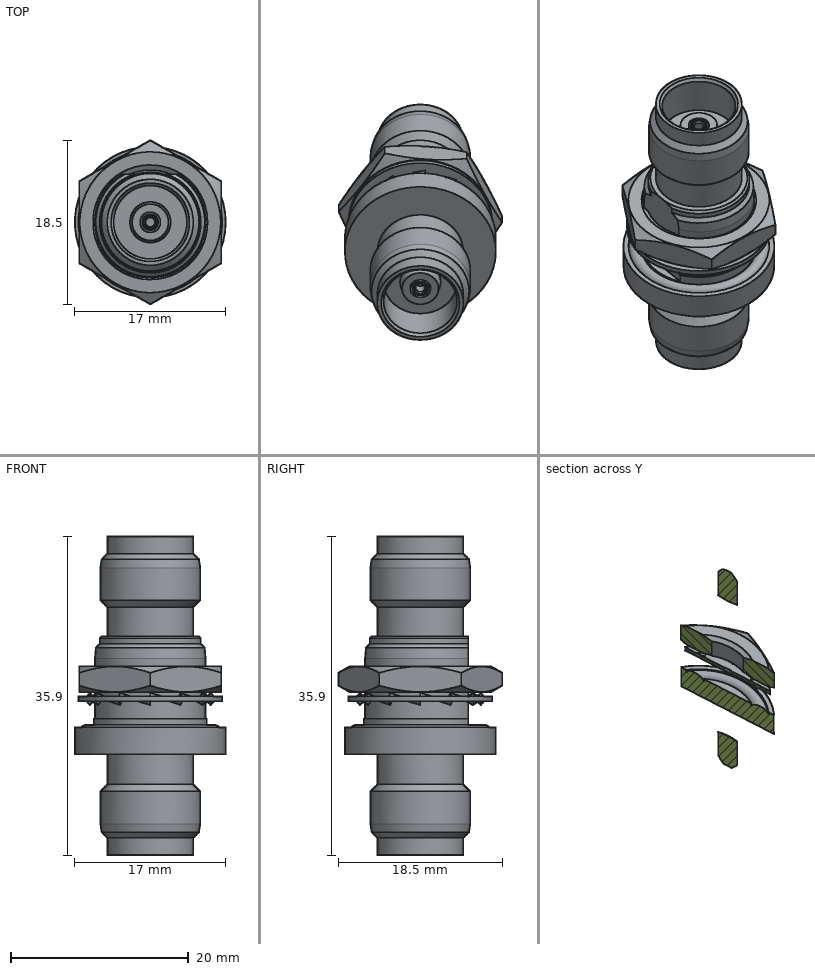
import cadquery as cq
import math


LENGTH = 35.9
HALF_LENGTH = LENGTH / 2
TUBE_RADIUS = 4.85
RING_RADIUS = 5.65
RING_LEAD_RADIUS = 5.5
RING_START = 1.95
RING_TAPER_START = RING_START + (RING_LEAD_RADIUS - TUBE_RADIUS)
RING_FULL_START = 3.52
RING_FULL_END = 7.18
RING_END = RING_FULL_END + (RING_RADIUS - TUBE_RADIUS)

SOCKET_RADIUS = 4.13
SOCKET_MOUTH_RADIUS = 4.4
SOCKET_MOUTH_CHAMFER = 0.32
SOCKET_DEPTH = 4.65
BOSS_BASE_RADIUS = 2.3
BOSS_TOP_RADIUS = 2.05
BOSS_HEIGHT = 1.47
BOSS_HOLE_RADIUS = 1.15
CONTACT_RADIUS = 0.9
CONTACT_HOLE_RADIUS = 0.55
CONTACT_MOUTH_RADIUS = 0.72

FLANGE_RADIUS = 8.5
FLANGE_BOTTOM = -6.6
FLANGE_TOP = -3.55
GASKET_OUTER_RADIUS = 7.95
GASKET_HEIGHT = 0.3
SHOULDER_RADIUS = 6.4
SHOULDER_TOP = -2.6
THREAD_RADIUS = 6.25
THREAD_TAPER_START = 4.2
THREAD_TAPER_END = 5.42
THREAD_LEAD_RADIUS = 6.15
NECK_BOTTOM = 5.85
NECK_RADIUS = 5.7
COLLAR_TOP = 6.7
COLLAR_CHAMFER = 0.25
FLAT_DISTANCE = 5.42

NUT_ACROSS_CORNERS = 18.5
NUT_BOTTOM = 0.4
NUT_HEIGHT = 2.95
NUT_FACE_RADIUS = 7.95
NUT_CHAMFER_ANGLE = 30.0
NUT_BORE_RADIUS = 5.9
NUT_COUNTERSINK_RADIUS = 6.45
NUT_COUNTERSINK_DEPTH = 0.32

WASHER_RADIUS = 8.1
WASHER_BORE_RADIUS = 5.5
WASHER_THICKNESS = 0.57
WASHER_MIDDLE = -0.35
TOOTH_COUNT = 12
TOOTH_CREST_RADIUS = (WASHER_RADIUS + WASHER_BORE_RADIUS) / 2
TOOTH_HALF_WIDTH = 0.35
TOOTH_HEIGHT = 0.4
TOOTH_LENGTH = 1.35


def lathe(points):
    """Revolve a closed (radius, z) outline about the Z axis."""
    return cq.Workplane("XZ").polyline(points).close().revolve(360, (0, 0, 0), (0, 1, 0))


def disc(radius, bottom, top):
    return cq.Workplane("XY").workplane(offset=bottom).circle(radius).extrude(top - bottom)


def connector_end():
    """The upper end, reaching down to z = 0."""
    shell = lathe([
        (0, 0),
        (TUBE_RADIUS, 0),
        (TUBE_RADIUS, HALF_LENGTH - RING_END),
        (RING_RADIUS, HALF_LENGTH - RING_FULL_END),
        (RING_RADIUS, HALF_LENGTH - RING_FULL_START),
        (RING_LEAD_RADIUS, HALF_LENGTH - RING_TAPER_START),
        (TUBE_RADIUS, HALF_LENGTH - RING_START),
        (TUBE_RADIUS, HALF_LENGTH),
        (0, HALF_LENGTH),
    ])
    floor = HALF_LENGTH - SOCKET_DEPTH
    socket = lathe([
        (0, floor),
        (SOCKET_RADIUS, floor),
        (SOCKET_RADIUS, HALF_LENGTH - SOCKET_MOUTH_CHAMFER),
        (SOCKET_MOUTH_RADIUS, HALF_LENGTH),
        (0, HALF_LENGTH),
    ])
    boss_top = floor + BOSS_HEIGHT
    boss = lathe([
        (BOSS_HOLE_RADIUS, floor),
        (BOSS_BASE_RADIUS, floor),
        (BOSS_TOP_RADIUS, boss_top),
        (BOSS_HOLE_RADIUS, boss_top),
    ])
    contact = lathe([
        (CONTACT_HOLE_RADIUS, floor),
        (CONTACT_RADIUS, floor),
        (CONTACT_RADIUS, boss_top),
        (CONTACT_MOUTH_RADIUS, boss_top),
        (CONTACT_HOLE_RADIUS, boss_top - (CONTACT_MOUTH_RADIUS - CONTACT_HOLE_RADIUS)),
    ])
    return shell.cut(socket).union(boss).union(contact)


def flange():
    """Mounting flange with the round gasket bead set in a groove of its upper face."""
    groove_middle = (GASKET_OUTER_RADIUS + SHOULDER_RADIUS) / 2
    bead_radius = (GASKET_OUTER_RADIUS - SHOULDER_RADIUS) / 2
    bead_middle = FLANGE_TOP + GASKET_HEIGHT - bead_radius
    groove = lathe([
        (SHOULDER_RADIUS, bead_middle),
        (GASKET_OUTER_RADIUS, bead_middle),
        (GASKET_OUTER_RADIUS, FLANGE_TOP),
        (SHOULDER_RADIUS, FLANGE_TOP),
    ])
    bead = (
        cq.Workplane("XZ")
        .center(groove_middle, bead_middle)
        .circle(bead_radius)
        .revolve(360, (-groove_middle, 0, 0), (-groove_middle, 1, 0))
    )
    return disc(FLANGE_RADIUS, FLANGE_BOTTOM, FLANGE_TOP).cut(groove).union(bead)


def threaded_collar():
    """Threaded barrel above the flange, with a flat along its +Y side."""
    collar = lathe([
        (0, FLANGE_TOP),
        (SHOULDER_RADIUS, FLANGE_TOP),
        (SHOULDER_RADIUS, SHOULDER_TOP),
        (THREAD_RADIUS, SHOULDER_TOP),
        (THREAD_RADIUS, THREAD_TAPER_START),
        (THREAD_LEAD_RADIUS, THREAD_TAPER_END),
        (NECK_RADIUS, NECK_BOTTOM),
        (NECK_RADIUS, COLLAR_TOP - COLLAR_CHAMFER),
        (NECK_RADIUS - COLLAR_CHAMFER, COLLAR_TOP),
        (0, COLLAR_TOP),
    ])
    beyond_flat = cq.Workplane("XY").box(LENGTH, LENGTH, LENGTH).translate((0, FLAT_DISTANCE + LENGTH / 2, 0))
    return collar.cut(beyond_flat)


def make_body():
    upper_end = connector_end()
    lower_end = upper_end.mirror("XY")
    return upper_end.union(lower_end).union(flange()).union(threaded_collar())


def make_nut(body):
    """Hex nut chamfered on both faces; its bore is fitted around the body's thread."""
    top = NUT_BOTTOM + NUT_HEIGHT
    corner_radius = NUT_ACROSS_CORNERS / 2
    corner_drop = (corner_radius - NUT_FACE_RADIUS) * math.tan(math.radians(NUT_CHAMFER_ANGLE))

    hexagon = (
        cq.Workplane("XY")
        .workplane(offset=NUT_BOTTOM)
        .transformed(rotate=(0, 0, 90))
        .polygon(6, NUT_ACROSS_CORNERS)
        .extrude(NUT_HEIGHT)
    )
    turned_ring = lathe([
        (NUT_COUNTERSINK_RADIUS, NUT_BOTTOM),
        (NUT_FACE_RADIUS, NUT_BOTTOM),
        (corner_radius, NUT_BOTTOM + corner_drop),
        (corner_radius, top - corner_drop),
        (NUT_FACE_RADIUS, top),
        (NUT_COUNTERSINK_RADIUS, top),
        (NUT_BORE_RADIUS, top - NUT_COUNTERSINK_DEPTH),
        (NUT_BORE_RADIUS, NUT_BOTTOM + NUT_COUNTERSINK_DEPTH),
    ])
    return hexagon.intersect(turned_ring).cut(body)


def washer_tooth():
    """One tooth on the upper face: a pyramid with an upright end that runs out along the rim."""
    face = WASHER_THICKNESS / 2
    inner = cq.Vector(TOOTH_CREST_RADIUS - TOOTH_HALF_WIDTH, 0, face)
    outer = cq.Vector(TOOTH_CREST_RADIUS + TOOTH_HALF_WIDTH, 0, face)
    crest = cq.Vector(TOOTH_CREST_RADIUS, 0, face + TOOTH_HEIGHT)
    run_out = cq.Vector(TOOTH_CREST_RADIUS, TOOTH_LENGTH, face)
    triangles = [
        (inner, outer, crest),
        (inner, outer, run_out),
        (inner, crest, run_out),
        (outer, crest, run_out),
    ]
    faces = [cq.Face.makeFromWires(cq.Wire.makePolygon(corners, close=True)) for corners in triangles]
    return cq.Workplane(cq.Solid.makeSolid(cq.Shell.makeShell(faces)))


def make_washer(body):
    """Flat ring with teeth on both faces; its bore is fitted around the body's thread and flat."""
    half_thickness = WASHER_THICKNESS / 2
    washer = disc(WASHER_RADIUS, -half_thickness, half_thickness)
    washer = washer.cut(disc(WASHER_BORE_RADIUS, -half_thickness, half_thickness))
    upper_tooth = washer_tooth()
    lower_tooth = upper_tooth.rotate((0, 0, 0), (1, 0, 0), 180)
    for index in range(TOOTH_COUNT):
        angle = index * 360 / TOOTH_COUNT
        for tooth in (upper_tooth, lower_tooth):
            washer = washer.union(tooth.rotate((0, 0, 0), (0, 0, 1), angle))
    return washer.translate((0, 0, WASHER_MIDDLE)).cut(body)


body = make_body()
nut = make_nut(body)
washer = make_washer(body)

result = cq.Compound.makeCompound([part.solids().val() for part in (body, nut, washer)])